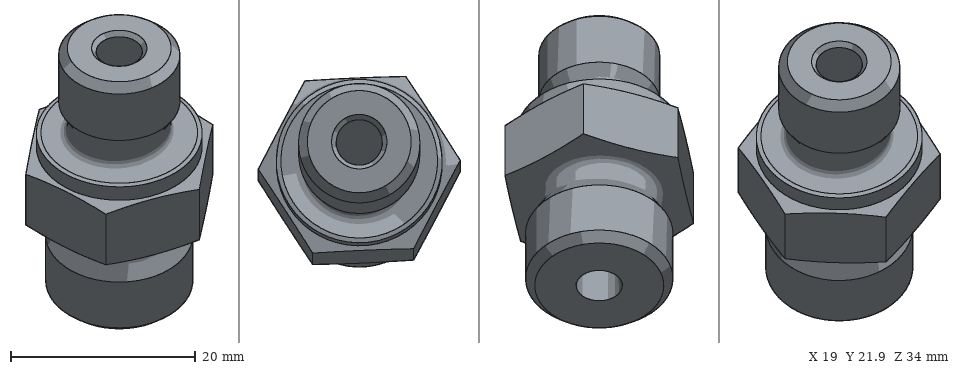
import math

import cadquery as cq

LENGTH = 34.0
HEX_BOTTOM = 12.0
HEX_TOP = 20.0
COLLAR_TOP = 22.0

HEX_ACROSS_FLATS = 19.0
HEX_HALF_SECTOR = 30.0
HEX_ACROSS_CORNERS = HEX_ACROSS_FLATS / math.cos(math.radians(HEX_HALF_SECTOR))
HEX_CHAMFER_DIAMETER = 18.9
HEX_CHAMFER_ANGLE = 15.0
HEX_CLEARANCE = 1.0

COLLAR_DIAMETER = 18.0
COLLAR_EDGE_DIAMETER = 17.0
COLLAR_EDGE_DROP = 0.1

LOWER_EDGE_DIAMETER = 18.7

UPPER_DIAMETER = 13.16
UPPER_NECK_DIAMETER = 11.2
UPPER_LENGTH = LENGTH - COLLAR_TOP
UPPER_THREAD_LENGTH = 7.55
UPPER_CHAMFER = 0.95
LOWER_DIAMETER = 16.0
LOWER_NECK_DIAMETER = 13.7
LOWER_LENGTH = HEX_BOTTOM
LOWER_THREAD_LENGTH = 7.5
LOWER_CHAMFER = 1.0

RUNOUT_ANGLE = 30.0
RUNOUT_FILLET = 1.2
SHOULDER_FILLET = 1.2
DISH_ANGLE = 7.0

BORE_DIAMETER = 5.0
BORE_CHAMFER = 0.5


def stud_outline(length, diameter, neck_diameter, thread_length, chamfer, edge_diameter, place):
    """Points of a stud's half outline, from the tip to the sealing edge.

    The outline is worked out in (radius, height above the sealing edge);
    place turns such a height into a height on the part.
    """
    radius = diameter / 2
    neck = neck_diameter / 2
    edge = edge_diameter / 2
    dish = math.radians(DISH_ANGLE)
    runout = math.radians(RUNOUT_ANGLE)

    thread_end = length - thread_length
    corner = thread_end - (radius - neck) / math.tan(runout)
    tangent = RUNOUT_FILLET * math.tan(runout / 2)
    neck_end = corner - tangent

    center_radius = neck + SHOULDER_FILLET
    dish_radius = center_radius + SHOULDER_FILLET * math.sin(dish)
    dish_height = -(edge - dish_radius) * math.tan(dish)
    neck_start = dish_height + SHOULDER_FILLET * math.cos(dish)
    middle = (math.radians(90) + dish) / 2

    outline = {
        "tip": (radius - chamfer, length),
        "thread_start": (radius, length - chamfer),
        "thread_end": (radius, thread_end),
        "runout_end": (
            neck + tangent * math.sin(runout),
            corner + tangent * math.cos(runout),
        ),
        "runout_middle": (
            neck + RUNOUT_FILLET * (1 - math.cos(runout / 2)),
            neck_end + RUNOUT_FILLET * math.sin(runout / 2),
        ),
        "neck_end": (neck, neck_end),
        "neck_start": (neck, neck_start),
        "shoulder_middle": (
            center_radius - SHOULDER_FILLET * math.cos(middle),
            neck_start - SHOULDER_FILLET * math.sin(middle),
        ),
        "dish": (dish_radius, dish_height),
        "edge": (edge, 0),
    }
    return {name: (r, place(height)) for name, (r, height) in outline.items()}


def above_collar(height):
    return COLLAR_TOP + height


def below_hexagon(height):
    return HEX_BOTTOM - height


def make_turned_shape():
    """Both studs, the collar and the coned ends of the hexagon as one turning."""
    lower = stud_outline(
        LOWER_LENGTH, LOWER_DIAMETER, LOWER_NECK_DIAMETER,
        LOWER_THREAD_LENGTH, LOWER_CHAMFER, LOWER_EDGE_DIAMETER, below_hexagon,
    )
    upper = stud_outline(
        UPPER_LENGTH, UPPER_DIAMETER, UPPER_NECK_DIAMETER,
        UPPER_THREAD_LENGTH, UPPER_CHAMFER, COLLAR_EDGE_DIAMETER, above_collar,
    )
    collar_radius = COLLAR_DIAMETER / 2
    cone_inner = HEX_CHAMFER_DIAMETER / 2
    cone_outer = HEX_ACROSS_CORNERS / 2 + HEX_CLEARANCE
    cone_drop = (cone_outer - cone_inner) * math.tan(math.radians(HEX_CHAMFER_ANGLE))

    return (
        cq.Workplane("XZ")
        .lineTo(*lower["tip"])
        .lineTo(*lower["thread_start"])
        .lineTo(*lower["thread_end"])
        .lineTo(*lower["runout_end"])
        .threePointArc(lower["runout_middle"], lower["neck_end"])
        .lineTo(*lower["neck_start"])
        .threePointArc(lower["shoulder_middle"], lower["dish"])
        .lineTo(*lower["edge"])
        .lineTo(cone_inner, HEX_BOTTOM)
        .lineTo(cone_outer, HEX_BOTTOM + cone_drop)
        .lineTo(cone_outer, HEX_TOP - cone_drop)
        .lineTo(cone_inner, HEX_TOP)
        .lineTo(collar_radius, HEX_TOP)
        .lineTo(collar_radius, COLLAR_TOP - COLLAR_EDGE_DROP)
        .lineTo(*upper["edge"])
        .lineTo(*upper["dish"])
        .threePointArc(upper["shoulder_middle"], upper["neck_start"])
        .lineTo(*upper["neck_end"])
        .threePointArc(upper["runout_middle"], upper["runout_end"])
        .lineTo(*upper["thread_end"])
        .lineTo(*upper["thread_start"])
        .lineTo(*upper["tip"])
        .lineTo(0, LENGTH)
        .close()
        .revolve(360, (0, 0, 0), (0, 1, 0))
    )


def make_hexagon_bar():
    """Full-length hexagon bar with corners on the Y axis."""
    return (
        cq.Workplane("XY")
        .polygon(6, HEX_ACROSS_CORNERS)
        .extrude(LENGTH)
        .rotate((0, 0, 0), (0, 0, 1), HEX_HALF_SECTOR)
    )


def make_bore():
    """Through bore, countersunk at the top."""
    bore_radius = BORE_DIAMETER / 2
    return (
        cq.Workplane("XZ")
        .lineTo(bore_radius, 0)
        .lineTo(bore_radius, LENGTH - BORE_CHAMFER)
        .lineTo(bore_radius + BORE_CHAMFER, LENGTH)
        .lineTo(0, LENGTH)
        .close()
        .revolve(360, (0, 0, 0), (0, 1, 0))
    )


result = make_turned_shape().intersect(make_hexagon_bar()).cut(make_bore())